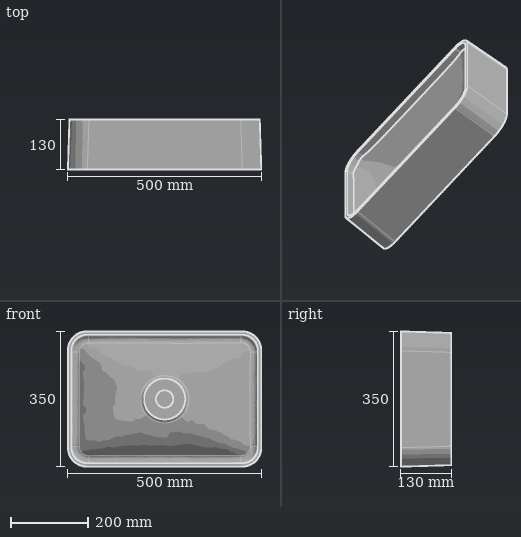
import cadquery as cq
import math

length = 500.0
height = 350.0
depth = 130.0
corner_radius = 50.0
wall = 9.0
draft_inset = 4.0
draft_angle = math.degrees(math.atan(draft_inset / depth))
underside_y = -depth / 2
bowl_rim_y = depth / 2

dome_apex_y = -44.0
dome_half_length = 220.0
dome_half_height = 145.0
side_rise = 60.0
long_side_rise = 52.5
shallow_share = 0.6
shallow_power = 2
steep_power = 5
blend_power = 3
floor_thickness = 10.0
gutter_radius = 11.0
grid_steps = 24
surface_tolerance = 0.1
surface_degree = 3

boss_radius = 53.0
boss_fillet = 10.0
drain_radius = 22.5
cover_recess = 7.5
bowl_floor_y = dome_apex_y + floor_thickness


def tapered_block(inset):
    """Drafted rounded block whose sides lie a given distance inside the outer sides."""
    block = (
        cq.Workplane("XZ", origin=(0, underside_y, 0))
        .rect(length - 2 * inset, height - 2 * inset)
        .extrude(-depth, taper=draft_angle)
    )
    return block.edges("not (#Y)").fillet(corner_radius - inset)


def profile_rise(ratio, edge_rise):
    """Rise along one axis: shallow near the middle and steep near the edge."""
    shallow = shallow_share * ratio**shallow_power
    steep = (1 - shallow_share) * ratio**steep_power
    return edge_rise * (shallow + steep)


def dome_y(x, z):
    """Y position of the domed floor's underside."""
    rise_x = profile_rise(abs(x) / dome_half_length, side_rise)
    rise_z = profile_rise(abs(z) / dome_half_height, long_side_rise)
    return dome_apex_y + (rise_x**blend_power + rise_z**blend_power) ** (1 / blend_power)


def below_dome():
    """Solid with the domed floor on its +Y side and an equal face well beyond the underside."""
    points = [
        [
            cq.Vector(x, dome_y(x, z), z)
            for z in (height * (j / grid_steps - 0.5) for j in range(grid_steps + 1))
        ]
        for x in (length * (i / grid_steps - 0.5) for i in range(grid_steps + 1))
    ]
    face = cq.Face.makeSplineApprox(points, tol=surface_tolerance, minDeg=surface_degree, maxDeg=surface_degree)
    far_distance = 2 * depth
    far_face = face.translate(cq.Vector(0, -far_distance, 0))
    return cq.Workplane(cq.Solid.extrudeLinear(far_face, cq.Vector(0, far_distance, 0)))


def cylinder(radius, start_y, end_y):
    return cq.Workplane("XZ", origin=(0, end_y, 0)).circle(radius).extrude(end_y - start_y)


def make_basin():
    dome = below_dome()

    underside = tapered_block(wall).intersect(dome)
    underside = underside.faces("%BSPLINE").faces(">Y").edges().fillet(gutter_radius)

    bowl = tapered_block(wall).cut(dome.translate((0, floor_thickness, 0)))

    basin = tapered_block(inset=0).cut(underside).cut(bowl)
    basin = basin.union(cylinder(boss_radius, underside_y, dome_apex_y + floor_thickness / 2))
    foot_reach = boss_radius + boss_fillet
    foot = cq.selectors.BoxSelector(
        (-foot_reach, dome_apex_y, -foot_reach),
        (foot_reach, bowl_floor_y, foot_reach),
    )
    basin = basin.edges(foot).fillet(boss_fillet)
    return basin.cut(cylinder(drain_radius, underside_y, bowl_rim_y))


def make_drain_cover():
    return cylinder(drain_radius, underside_y + cover_recess, bowl_floor_y)


basin = make_basin()
drain_cover = make_drain_cover()

result = cq.Compound.makeCompound([basin.val(), drain_cover.val()])